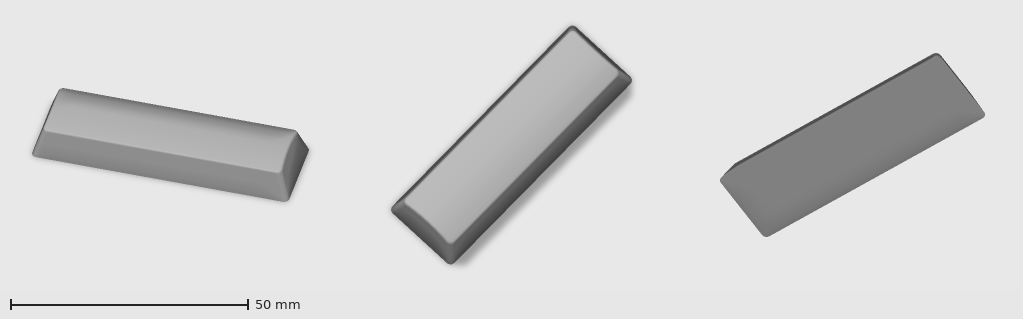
import cadquery as cq

length = 56.1
width = 18.0
height = 7.2
draft_angle = 18.0
crown_radius = 25.25
corner_radius = 1.25
top_rounding = 0.6


def tapered_block():
    """Rectangular block with leaning walls and rounded slanted corners."""
    block = cq.Workplane("XY").rect(length, width).extrude(height, taper=draft_angle)
    return block.edges("not(|X or |Y)").fillet(corner_radius)


def crown():
    """Cylinder along X whose uppermost line lies at the full height."""
    return (
        cq.Workplane("YZ")
        .center(0, height - crown_radius)
        .circle(crown_radius)
        .extrude(length / 2, both=True)
    )


crowned_block = tapered_block().intersect(crown())
result = crowned_block.faces(">Z").edges().fillet(top_rounding)